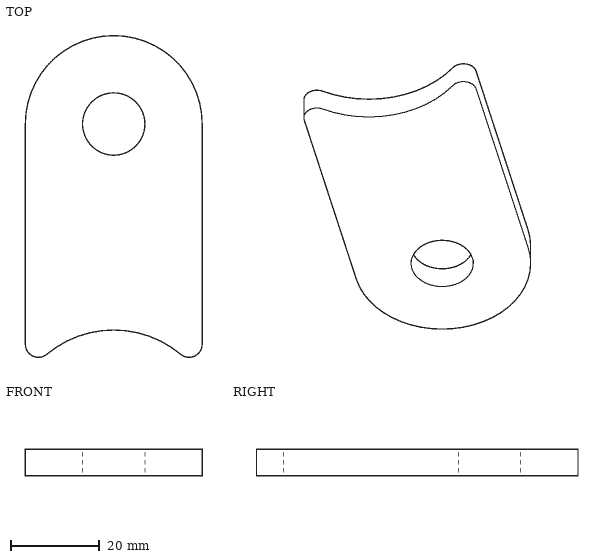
import cadquery as cq
import math

length = 72.7
width = 40.0
thickness = 6.0
hole_diameter = 14.0
tip_radius = 3.0
saddle_radius = 23.55

half_width = width / 2
eye_radius = half_width
bottom_y = eye_radius - length

tip_x = half_width - tip_radius
tip_y = bottom_y + tip_radius
center_distance = saddle_radius + tip_radius
saddle_y = tip_y - math.sqrt(center_distance**2 - tip_x**2)
saddle_top_y = saddle_y + saddle_radius

saddle_share = saddle_radius / center_distance
joint_x = tip_x * saddle_share
joint_y = saddle_y + (tip_y - saddle_y) * saddle_share

plate = (
    cq.Workplane("XY")
    .moveTo(-half_width, 0)
    .threePointArc((0, eye_radius), (half_width, 0))
    .lineTo(half_width, tip_y)
    .threePointArc((tip_x, bottom_y), (joint_x, joint_y))
    .threePointArc((0, saddle_top_y), (-joint_x, joint_y))
    .threePointArc((-tip_x, bottom_y), (-half_width, tip_y))
    .close()
    .extrude(thickness)
)

eye_hole = cq.Workplane("XY").circle(hole_diameter / 2).extrude(thickness)

result = plate.cut(eye_hole)